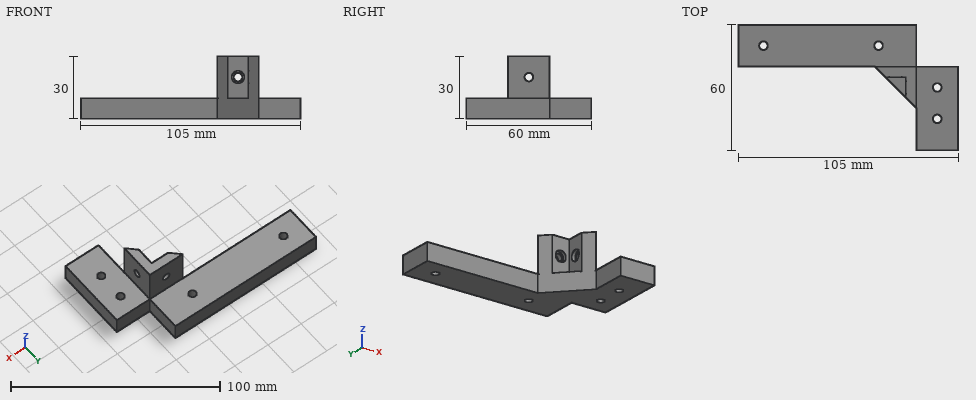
import cadquery as cq

length = 105.0
depth = 60.0
height = 30.0
bar_width = 20.0
bar_thickness = 10.0
wall = bar_width / 4
screw_diameter = 4.0
counterbore_diameter = 6.0
counterbore_depth = 2.0

long_bar_hole_start = 12.0
long_bar_hole_spacing = 55.0
short_bar_hole_start = 15.0
short_bar_hole_spacing = 15.0

corner_x = length - bar_width
corner_y = depth - bar_width


def corner_prism(inset, bottom):
    """Right triangle prism in the inner corner, set back from both bars by the inset."""
    leg = bar_width - 2 * inset
    right = corner_x - inset
    back = corner_y - inset
    outline = [(right - leg, back), (right, back), (right, back - leg)]
    return (
        cq.Workplane("XY")
        .workplane(offset=bottom)
        .polyline(outline)
        .close()
        .extrude(height - bottom)
    )


def cylinder(diameter, start, direction, distance):
    """Cylinder along the direction, with the start at the centre of its first end."""
    solid = cq.Solid.makeCylinder(diameter / 2, distance, cq.Vector(*start), cq.Vector(*direction))
    return cq.Workplane(solid)


def wall_hole(pocket_face, direction):
    """Counterbored screw hole running from the pocket face out through the wall."""
    bore = cylinder(screw_diameter, pocket_face, direction, wall)
    counterbore = cylinder(counterbore_diameter, pocket_face, direction, counterbore_depth)
    return bore.union(counterbore)


long_bar = cq.Workplane("XY").box(corner_x, bar_width, bar_thickness, centered=False)
long_bar = long_bar.translate((0, corner_y, 0))
short_bar = cq.Workplane("XY").box(bar_width, corner_y, bar_thickness, centered=False)
short_bar = short_bar.translate((corner_x, 0, 0))
tower = corner_prism(0, 0).cut(corner_prism(wall, bar_thickness))
result = tower.union(long_bar).union(short_bar)

long_bar_y = depth - bar_width / 2
short_bar_x = length - bar_width / 2
mounting_holes = [
    (long_bar_hole_start, long_bar_y),
    (long_bar_hole_start + long_bar_hole_spacing, long_bar_y),
    (short_bar_x, short_bar_hole_start),
    (short_bar_x, short_bar_hole_start + short_bar_hole_spacing),
]
for x, y in mounting_holes:
    result = result.cut(cylinder(screw_diameter, (x, y, 0), (0, 0, 1), bar_thickness))

hole_z = (bar_thickness + height) / 2
middle_x = corner_x - bar_width / 2
middle_y = corner_y - bar_width / 2
result = result.cut(wall_hole((middle_x, corner_y - wall, hole_z), (0, 1, 0)))
result = result.cut(wall_hole((corner_x - wall, middle_y, hole_z), (1, 0, 0)))